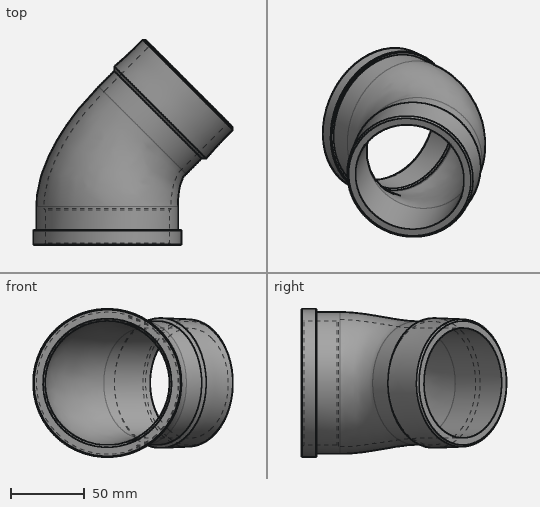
import cadquery as cq
import math


BEND_ANGLE = 45.0
INLET_RUN = 54.1
OUTLET_RUN = 78.6

FLANGE_DIAMETER = 101.0
FLANGE_LENGTH = 10.5
FLANGE_CHAMFER = 0.7
INLET_DIAMETER = 96.6
INLET_LENGTH = 26.2
INLET_BORE_DIAMETER = 84.4
INLET_BORE_LENGTH = 24.0
INLET_BORE_CHAMFER = 1.5
BEND_BORE_DIAMETER = 86.5

NECK_DIAMETER = 84.1
NECK_LENGTH = 14.9
SPIGOT_DIAMETER = 88.4
SPIGOT_TAPER = 1 / 16
SPIGOT_CHAMFER = 1.3
OUTLET_LENGTH = 44.9
OUTLET_BORE_DIAMETER = 74.7

BEND_FULLNESS = 0.95
BEND_SECTIONS = 9

UP = cq.Vector(0, 0, 1)
ORIGIN = cq.Vector(0, 0, 0)
INLET_DIRECTION = cq.Vector(0, 1, 0)
OUTLET_DIRECTION = cq.Vector(math.sin(math.radians(BEND_ANGLE)), math.cos(math.radians(BEND_ANGLE)), 0)
INLET_ACROSS = cq.Vector(1, 0, 0)
OUTLET_ACROSS = cq.Vector(OUTLET_DIRECTION.y, -OUTLET_DIRECTION.x, 0)
BEND_START = INLET_DIRECTION * INLET_LENGTH
BEND_END = INLET_DIRECTION * INLET_RUN + OUTLET_DIRECTION * (OUTLET_RUN - OUTLET_LENGTH)


def turned(profile, origin, direction):
    """Revolve (radius, distance) points about the axis through origin along direction."""
    plane = cq.Plane(origin=origin, xDir=UP, normal=UP.cross(direction))
    return cq.Workplane(plane).polyline(profile).close().revolve(360, (0, 0), (0, 1))


def blend(t):
    """Smooth share of the outlet shape at t, from 0 at the inlet to 1 at the outlet."""
    return 3 * t**2 - 2 * t**3


def bend_curve(start, end, t):
    """Point at t on a cubic that leaves the inlet and enters the outlet along their axes."""
    pull = BEND_FULLNESS * (end - start).Length
    return (
        start * (1 - blend(t))
        + end * blend(t)
        + INLET_DIRECTION * (pull * (t - 2 * t**2 + t**3))
        + OUTLET_DIRECTION * (pull * (t**3 - t**2))
    )


def bend(start_diameter, end_diameter):
    """Loft elliptical sections between the bend's inner and outer curves."""
    start_radius = start_diameter / 2
    end_radius = end_diameter / 2
    sections = []
    for i in range(BEND_SECTIONS):
        t = i / (BEND_SECTIONS - 1)
        inner = bend_curve(BEND_START + INLET_ACROSS * start_radius, BEND_END + OUTLET_ACROSS * end_radius, t)
        outer = bend_curve(BEND_START - INLET_ACROSS * start_radius, BEND_END - OUTLET_ACROSS * end_radius, t)
        across = inner - outer
        half_height = start_radius + (end_radius - start_radius) * blend(t)
        centre = (inner + outer) * 0.5
        plane = cq.Plane(origin=centre, xDir=UP, normal=UP.cross(across))
        edge = cq.Workplane(plane).ellipse(half_height, across.Length / 2).val()
        sections.append(cq.Wire.assembleEdges(edge.Edges()))
    return cq.Workplane(cq.Solid.makeLoft(sections))


def inlet_body():
    """Inlet pipe with a chamfered flange at its open end."""
    flange_radius = FLANGE_DIAMETER / 2
    pipe_radius = INLET_DIAMETER / 2
    profile = [
        (0, 0),
        (flange_radius - FLANGE_CHAMFER, 0),
        (flange_radius, FLANGE_CHAMFER),
        (flange_radius, FLANGE_LENGTH - FLANGE_CHAMFER),
        (flange_radius - FLANGE_CHAMFER, FLANGE_LENGTH),
        (pipe_radius, FLANGE_LENGTH),
        (pipe_radius, INLET_LENGTH),
        (0, INLET_LENGTH),
    ]
    return turned(profile, ORIGIN, INLET_DIRECTION)


def outlet_body():
    """Neck, 45 degree shoulder and tapered spigot with a chamfered end."""
    neck_radius = NECK_DIAMETER / 2
    shoulder_radius = SPIGOT_DIAMETER / 2
    shoulder_end = NECK_LENGTH + shoulder_radius - neck_radius
    chamfer_start = OUTLET_LENGTH - SPIGOT_CHAMFER
    tip_radius = shoulder_radius - SPIGOT_TAPER / 2 * (chamfer_start - shoulder_end)
    profile = [
        (0, 0),
        (neck_radius, 0),
        (neck_radius, NECK_LENGTH),
        (shoulder_radius, shoulder_end),
        (tip_radius, chamfer_start),
        (tip_radius - SPIGOT_CHAMFER, OUTLET_LENGTH),
        (0, OUTLET_LENGTH),
    ]
    return turned(profile, BEND_END, OUTLET_DIRECTION)


def inlet_bore():
    """Chamfered inlet bore that flares out at 45 degrees to the wider bore of the bend."""
    bore_radius = INLET_BORE_DIAMETER / 2
    bend_radius = BEND_BORE_DIAMETER / 2
    profile = [
        (0, 0),
        (bore_radius + INLET_BORE_CHAMFER, 0),
        (bore_radius, INLET_BORE_CHAMFER),
        (bore_radius, INLET_BORE_LENGTH),
        (bend_radius, INLET_BORE_LENGTH + bend_radius - bore_radius),
        (bend_radius, INLET_LENGTH),
        (0, INLET_LENGTH),
    ]
    return turned(profile, ORIGIN, INLET_DIRECTION)


def outlet_bore():
    """Plain bore through the outlet."""
    radius = OUTLET_BORE_DIAMETER / 2
    profile = [(0, 0), (radius, 0), (radius, OUTLET_LENGTH), (0, OUTLET_LENGTH)]
    return turned(profile, BEND_END, OUTLET_DIRECTION)


body = inlet_body().union(bend(INLET_DIAMETER, NECK_DIAMETER)).union(outlet_body())
passage = inlet_bore().union(bend(BEND_BORE_DIAMETER, OUTLET_BORE_DIAMETER)).union(outlet_bore())
result = body.cut(passage)